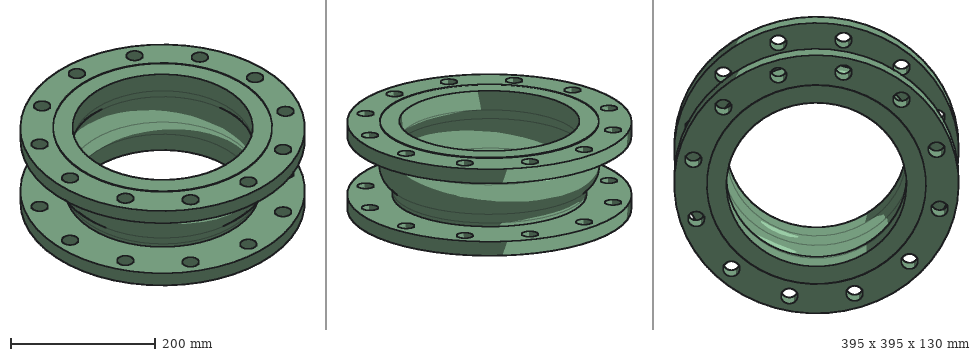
import cadquery as cq
import math

total_height = 130.0
flange_radius = 197.5
flange_thickness = 21.0
raised_face_radius = 304.0 / 2
raised_face_height = 1.0

bore_radius = 250.0 / 2
neck_radius = 270.0 / 2
wall = neck_radius - bore_radius
bulge_radius = 153.0
neck_end_z = 37.0
join_z = 21.7

bolt_count = 12
bolt_hole_diameter = 23.0
bolt_circle_radius = 175.0
first_bolt_angle = 180 / bolt_count

face_z = total_height / 2
flange_top_z = face_z - raised_face_height
flange_bottom_z = flange_top_z - flange_thickness

bulge_rise = bulge_radius - neck_radius
arc_radius_sum = (bulge_rise**2 + neck_end_z**2) / (2 * bulge_rise)
join_angle = math.asin(neck_end_z / arc_radius_sum)
crest_arc_radius = join_z / math.sin(join_angle)
root_arc_radius = arc_radius_sum - crest_arc_radius
crest_center_r = bulge_radius - crest_arc_radius
root_center_r = neck_radius + root_arc_radius


def bellows_points(inset):
    """Return upper root middle, join and crest points, shifted inward by inset."""
    half_angle = join_angle / 2
    root_middle = (
        root_center_r - root_arc_radius * math.cos(half_angle) - inset,
        neck_end_z - root_arc_radius * math.sin(half_angle),
    )
    join = (
        crest_center_r + crest_arc_radius * math.cos(join_angle) - inset,
        join_z,
    )
    crest = (bulge_radius - inset, 0)
    return root_middle, join, crest


def mirrored(point):
    """Reflect a profile point in the middle plane."""
    return point[0], -point[1]


def make_body():
    """Revolve the flanges and the bellows as one profile."""
    outer_root, outer_join, outer_crest = bellows_points(0)
    inner_root, inner_join, inner_crest = bellows_points(wall)
    profile = (
        cq.Workplane("XZ")
        .moveTo(bore_radius, face_z)
        .lineTo(raised_face_radius, face_z)
        .lineTo(raised_face_radius, flange_top_z)
        .lineTo(flange_radius, flange_top_z)
        .lineTo(flange_radius, flange_bottom_z)
        .lineTo(neck_radius, flange_bottom_z)
        .lineTo(neck_radius, neck_end_z)
        .threePointArc(outer_root, outer_join)
        .threePointArc(outer_crest, mirrored(outer_join))
        .threePointArc(mirrored(outer_root), (neck_radius, -neck_end_z))
        .lineTo(neck_radius, -flange_bottom_z)
        .lineTo(flange_radius, -flange_bottom_z)
        .lineTo(flange_radius, -flange_top_z)
        .lineTo(raised_face_radius, -flange_top_z)
        .lineTo(raised_face_radius, -face_z)
        .lineTo(bore_radius, -face_z)
        .lineTo(bore_radius, -neck_end_z)
        .threePointArc(mirrored(inner_root), mirrored(inner_join))
        .threePointArc(inner_crest, inner_join)
        .threePointArc(inner_root, (bore_radius, neck_end_z))
        .close()
    )
    return profile.revolve(360, (0, 0, 0), (0, 1, 0))


def make_bolt_holes():
    """Return cylinders that pass through both flanges."""
    return (
        cq.Workplane("XY")
        .workplane(offset=-face_z)
        .polarArray(bolt_circle_radius, first_bolt_angle, 360, bolt_count)
        .circle(bolt_hole_diameter / 2)
        .extrude(total_height)
    )


result = make_body().cut(make_bolt_holes())